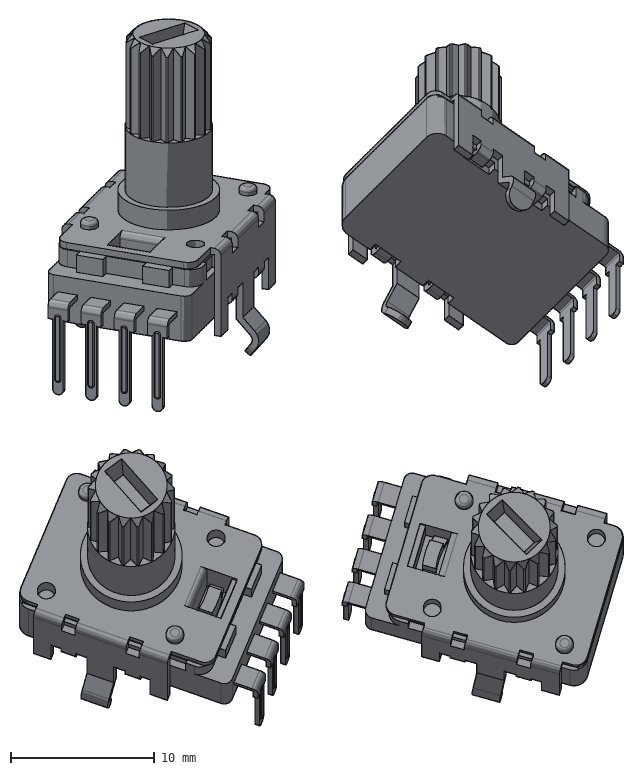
import cadquery as cq
import math


SHAFT_TOP = 13.4
SHAFT_DIAMETER = 6.1
COLLAR_DIAMETER = 7.1
COLLAR_HEIGHT = 1.5
SPLINE_LENGTH = 7.0
SPLINE_COUNT = 18
SPLINE_CREST_RADIUS = 3.0
SPLINE_ROOT_RADIUS = 2.5
SPLINE_CREST_HALF_ANGLE = 1.2
SPLINE_CHAMFER = SPLINE_CREST_RADIUS - SPLINE_ROOT_RADIUS
SLOT_LENGTH = 4.0
SLOT_WIDTH = 1.5
SLOT_DEPTH = 1.5
SLOT_FLOOR_LENGTH = 3.0
SLOT_FLOOR_WIDTH = 1.0
SLOT_ANGLE = 60.0

SHEET = 0.5
PLATE_HALF_WIDTH = 5.2
PLATE_BACK = 6.55
PLATE_FRONT = -8.0
PLATE_CORNER = 0.8
WALL_OUTER = 6.0
WALL_INNER = WALL_OUTER - SHEET
WALL_HALF_LENGTH = 5.0
WALL_BOTTOM = -4.2
LEG_BOTTOM = -6.65
GAP_NEAR = 1.0
GAP_FAR = 3.7
NOTCH_CENTER = 2.4
NOTCH_WIDTH = 1.0
NOTCH_DEPTH = 1.13
TAB_WIDTH = 1.1
TAB_BOTTOM = -5.1
TAB_INNER = 4.5

HOOK_WIDTH = 2 * GAP_NEAR
HOOK_BEND_X = 6.2
HOOK_BEND_Z = -8.44
HOOK_OUTER_RADIUS = 1.0
HOOK_INNER_RADIUS = HOOK_OUTER_RADIUS - SHEET
HOOK_UPPER_ANGLE = 45.0
HOOK_LOWER_ANGLE = -37.0
HOOK_TIP_LENGTH = 1.2
HOOK_TIP_ROUNDING = 0.98

BODY_HALF_WIDTH = 5.4
BODY_BACK = 6.6
BODY_FRONT = -9.4
BODY_TOP = -0.64
BODY_STEP = -1.95
BODY_BOTTOM = -5.4
UPPER_FRONT = -7.8
BODY_CORNER = 1.0
FRONT_CORNER = 0.6
BUMP_FRONT = -8.4
BUMP_WIDTH = 2.0
BUMP_OFFSET = 2.5
RIM_TOP = -0.84
RIM_WIDTH = 0.3
RIM_HALF_LENGTH = 6.15
POCKET_DEPTH = 0.5
POCKET_BACK = -4.0
RECESS_TOP = -4.6
RECESS_LENGTH = 2.3
RECESS_DEPTH = 0.6

SPACER_HALF_WIDTH = BODY_HALF_WIDTH - RIM_WIDTH
SPACER_BACK = 6.15
SPACER_FRONT = -6.9

RIVET_X = 4.0
RIVET_Y = 4.8
RIVET_DIAMETER = 1.25
RIVET_HEIGHT = 0.55
RIVET_ROUNDING = 0.3
HOLE_DIAMETER = 1.25
HOLE_DEPTH = 1.25

WINDOW_WIDTH = 3.2
WINDOW_BACK = -4.6
WINDOW_FRONT = -7.3
WINDOW_LIP_RADIUS = 0.45
WINDOW_LEDGE_TOP = -0.25
CAVITY_FLOOR = -3.0
TRACK_INNER_RADIUS = 5.5
TRACK_OUTER_RADIUS = 6.46
TRACK_TOP = -2.4
CONTACT_WIDTH = 1.87
CONTACT_TOP = -1.2

PIN_PITCH = 2.5
PIN_COUNT = 4
PIN_SHEET = 0.35
PIN_TOP = -3.2
PIN_FRONT = -11.19
PIN_BOTTOM = -10.2
PIN_ROOT = -9.0
PIN_BEND_RADIUS = 0.45
PIN_HEAD_WIDTH = 1.5
PIN_WIDTH = 0.8
PIN_SHOULDER = -4.5
RIB_FRONT = -11.25
RIB_TOP = -4.1
RIB_BOTTOM = -9.25
RIB_WIDTH = 0.5
RIB_CREST_WIDTH = 0.3


def box(x_min, x_max, y_min, y_max, z_min, z_max):
    """Axis-aligned block between the given limits."""
    size = (x_max - x_min, y_max - y_min, z_max - z_min)
    return cq.Workplane("XY").box(*size, centered=False).translate((x_min, y_min, z_min))


def mirrored_pair(solid):
    """A solid on the +X side together with its mirror image on the -X side."""
    return solid.union(solid.mirror("YZ"))


def polar(radius, angle):
    """Point at a radius and an angle in degrees."""
    return (radius * math.cos(math.radians(angle)), radius * math.sin(math.radians(angle)))


def make_spline():
    """Narrow-crested spline teeth with a conical chamfer at the shaft end."""
    pitch = 360.0 / SPLINE_COUNT
    outline = []
    for tooth in range(SPLINE_COUNT):
        crest = 90.0 + tooth * pitch
        outline.append(polar(SPLINE_CREST_RADIUS, crest - SPLINE_CREST_HALF_ANGLE))
        outline.append(polar(SPLINE_CREST_RADIUS, crest + SPLINE_CREST_HALF_ANGLE))
        outline.append(polar(SPLINE_ROOT_RADIUS, crest + pitch / 2))
    base = SHAFT_TOP - SPLINE_LENGTH
    teeth = cq.Workplane("XY").workplane(offset=base).polyline(outline).close().extrude(SPLINE_LENGTH)
    envelope = cq.Workplane("XY").workplane(offset=base).circle(SPLINE_CREST_RADIUS).extrude(SPLINE_LENGTH)
    return teeth.intersect(envelope.faces(">Z").chamfer(SPLINE_CHAMFER))


def make_shaft():
    """Collar, plain shaft and splined end with a tapered screwdriver slot."""
    collar = cq.Workplane("XY").circle(COLLAR_DIAMETER / 2).extrude(COLLAR_HEIGHT)
    plain = cq.Workplane("XY").circle(SHAFT_DIAMETER / 2).extrude(SHAFT_TOP - SPLINE_LENGTH)
    slot = (
        cq.Workplane("XY")
        .workplane(offset=SHAFT_TOP)
        .rect(SLOT_LENGTH, SLOT_WIDTH)
        .workplane(offset=-SLOT_DEPTH)
        .rect(SLOT_FLOOR_LENGTH, SLOT_FLOOR_WIDTH)
        .loft()
        .rotate((0, 0, 0), (0, 0, 1), SLOT_ANGLE)
    )
    return collar.union(plain).union(make_spline()).cut(slot)


def make_body():
    """Stepped molded body with front bumps and side recesses."""
    lower = box(-BODY_HALF_WIDTH, BODY_HALF_WIDTH, BODY_FRONT, BODY_BACK, BODY_BOTTOM, BODY_STEP)
    lower = lower.edges("|Z and <Y").fillet(FRONT_CORNER).edges("|Z and >Y").fillet(BODY_CORNER)
    upper = box(-BODY_HALF_WIDTH, BODY_HALF_WIDTH, UPPER_FRONT, BODY_BACK, BODY_STEP, BODY_TOP)
    body = lower.union(upper.edges("|Z").fillet(BODY_CORNER))
    for center in (-BUMP_OFFSET, BUMP_OFFSET):
        left = center - BUMP_WIDTH / 2
        body = body.union(box(left, left + BUMP_WIDTH, BUMP_FRONT, UPPER_FRONT, BODY_STEP, BODY_TOP))
    return body.cut(mirrored_pair(make_side_cuts()))


def make_side_cuts():
    """Material removed from the +X side of the body."""
    rim_inner = BODY_HALF_WIDTH - RIM_WIDTH
    cuts = box(rim_inner, WALL_OUTER, -RIM_HALF_LENGTH, RIM_HALF_LENGTH, RIM_TOP, 0)
    pocket_inner = BODY_HALF_WIDTH - POCKET_DEPTH
    cuts = cuts.union(
        box(pocket_inner, WALL_OUTER, -RIM_HALF_LENGTH, POCKET_BACK, BODY_STEP, RIM_TOP)
    )
    recess_inner = BODY_HALF_WIDTH - RECESS_DEPTH
    for center in (-NOTCH_CENTER, NOTCH_CENTER):
        near = center - RECESS_LENGTH / 2
        cuts = cuts.union(
            box(recess_inner, WALL_OUTER, near, near + RECESS_LENGTH, BODY_BOTTOM, RECESS_TOP)
        )
    return cuts


def make_side_wall():
    """Bent side wall on the +X side, with its legs, tabs and bend notches."""
    wall = box(PLATE_HALF_WIDTH, WALL_OUTER, -WALL_HALF_LENGTH, WALL_HALF_LENGTH, LEG_BOTTOM, 0)
    wall = wall.edges("|Y and >X and >Z").fillet(SHEET)
    wall = wall.cut(
        box(PLATE_HALF_WIDTH, WALL_INNER, -WALL_HALF_LENGTH, WALL_HALF_LENGTH, LEG_BOTTOM, -SHEET)
    )
    for side in (-1, 1):
        center = side * NOTCH_CENTER
        near, far = sorted((side * GAP_NEAR, side * GAP_FAR))
        wall = wall.cut(box(WALL_INNER, WALL_OUTER, near, far, LEG_BOTTOM, WALL_BOTTOM))
        notch_start = center - NOTCH_WIDTH / 2
        notch_end = center + NOTCH_WIDTH / 2
        wall = wall.cut(box(PLATE_HALF_WIDTH, WALL_OUTER, notch_start, notch_end, -NOTCH_DEPTH, 0))
        wall = wall.union(make_tab(center))
    return wall.union(make_hook())


def make_tab(center):
    """Tab below the +X wall, bent inward into the body recess."""
    start = center - TAB_WIDTH / 2
    end = center + TAB_WIDTH / 2
    tab = box(TAB_INNER, WALL_OUTER, start, end, TAB_BOTTOM, WALL_BOTTOM)
    tab = tab.edges("|Y and >X and <Z").fillet(SHEET)
    return tab.cut(box(TAB_INNER, WALL_INNER, start, end, TAB_BOTTOM + SHEET, WALL_BOTTOM))


def make_hook():
    """Snap hook below the +X wall: out along a slope, round a bend and back in to a round tip."""
    def on_bend(radius, angle):
        x, z = polar(radius, angle)
        return (HOOK_BEND_X + x, HOOK_BEND_Z + z)

    def slope_start(radius, x):
        """Point where the upper slope, tangent to the bend, meets a vertical wall face."""
        tangent_x, tangent_z = on_bend(radius, HOOK_UPPER_ANGLE)
        rise = (tangent_x - x) / math.tan(math.radians(HOOK_UPPER_ANGLE))
        return (x, tangent_z + rise)

    def tip_end(radius):
        x, z = on_bend(radius, HOOK_LOWER_ANGLE)
        dx, dz = polar(HOOK_TIP_LENGTH, HOOK_LOWER_ANGLE - 90)
        return (x + dx, z + dz)

    middle = (HOOK_UPPER_ANGLE + HOOK_LOWER_ANGLE) / 2
    hook = (
        cq.Workplane("XZ", origin=(0, HOOK_WIDTH / 2, 0))
        .moveTo(WALL_OUTER, LEG_BOTTOM)
        .lineTo(*slope_start(HOOK_OUTER_RADIUS, WALL_OUTER))
        .lineTo(*on_bend(HOOK_OUTER_RADIUS, HOOK_UPPER_ANGLE))
        .threePointArc(
            on_bend(HOOK_OUTER_RADIUS, middle), on_bend(HOOK_OUTER_RADIUS, HOOK_LOWER_ANGLE)
        )
        .lineTo(*tip_end(HOOK_OUTER_RADIUS))
        .lineTo(*tip_end(HOOK_INNER_RADIUS))
        .lineTo(*on_bend(HOOK_INNER_RADIUS, HOOK_LOWER_ANGLE))
        .threePointArc(
            on_bend(HOOK_INNER_RADIUS, middle), on_bend(HOOK_INNER_RADIUS, HOOK_UPPER_ANGLE)
        )
        .lineTo(*slope_start(HOOK_INNER_RADIUS, WALL_INNER))
        .lineTo(WALL_INNER, LEG_BOTTOM)
        .close()
        .extrude(HOOK_WIDTH)
    )
    across_x, across_z = polar(1, HOOK_LOWER_ANGLE)
    through_sheet = cq.selectors.ParallelDirSelector(cq.Vector(across_x, 0, across_z))
    tip_corners = hook.edges(through_sheet).edges("<Z")
    return tip_corners.fillet(HOOK_TIP_ROUNDING)


def make_cover():
    """Cover plate with both side walls and the spacer under the plate."""
    plate = box(-PLATE_HALF_WIDTH, PLATE_HALF_WIDTH, PLATE_FRONT, PLATE_BACK, -SHEET, 0)
    plate = plate.edges("|Z").fillet(PLATE_CORNER)
    spacer = box(-SPACER_HALF_WIDTH, SPACER_HALF_WIDTH, SPACER_FRONT, SPACER_BACK, BODY_TOP, -SHEET)
    return plate.union(spacer).union(mirrored_pair(make_side_wall()))


def make_rivet(x, y):
    """Rounded rivet head standing on the cover plate."""
    head = cq.Workplane("XY").center(x, y).circle(RIVET_DIAMETER / 2).extrude(RIVET_HEIGHT)
    return head.faces(">Z").fillet(RIVET_ROUNDING)


def make_hole(x, y):
    """Blind hole through the cover plate and into the body."""
    return cq.Workplane("XY").center(x, y).circle(HOLE_DIAMETER / 2).extrude(-HOLE_DEPTH)


def make_window_cut():
    """Window and cavity below it, with a rolled lip along the back and a ledge along the front."""
    half = WINDOW_WIDTH / 2
    lip_front = WINDOW_BACK - WINDOW_LIP_RADIUS
    window = box(-half, half, WINDOW_FRONT, WINDOW_BACK, WINDOW_LEDGE_TOP, 0)
    cavity = box(-half, half, SPACER_FRONT, WINDOW_BACK, CAVITY_FLOOR, WINDOW_LEDGE_TOP)
    lip = box(-half, half, lip_front, WINDOW_BACK + WINDOW_LIP_RADIUS, CAVITY_FLOOR, 0)
    lip = lip.edges("|X and <Y and >Z").fillet(WINDOW_LIP_RADIUS)
    return window.union(cavity).cut(lip).cut(make_track())


def make_track():
    """Curved track with a raised contact, on the cavity floor under the window."""
    def track_segment(width, top):
        ring = (
            cq.Workplane("XY")
            .workplane(offset=CAVITY_FLOOR)
            .circle(TRACK_OUTER_RADIUS)
            .circle(TRACK_INNER_RADIUS)
            .extrude(top - CAVITY_FLOOR)
        )
        span = box(-width / 2, width / 2, WINDOW_FRONT, WINDOW_BACK, CAVITY_FLOOR, top)
        return ring.intersect(span)

    return track_segment(WINDOW_WIDTH, TRACK_TOP).union(track_segment(CONTACT_WIDTH, CONTACT_TOP))


def make_pin():
    """L-shaped terminal pin on X = 0 with a wide head, a round tip and a stiffening rib."""
    pin_back = PIN_FRONT + PIN_SHEET
    head_half = PIN_HEAD_WIDTH / 2
    blank = box(-head_half, head_half, PIN_FRONT, PIN_ROOT, PIN_BOTTOM, PIN_TOP)
    blank = blank.edges("|X and <Y and >Z").fillet(PIN_BEND_RADIUS)
    inside = box(-head_half, head_half, pin_back, PIN_ROOT, PIN_BOTTOM, PIN_TOP - PIN_SHEET)
    inside = inside.edges("|X and <Y and >Z").fillet(PIN_BEND_RADIUS - PIN_SHEET)
    head = box(-head_half, head_half, PIN_FRONT, PIN_ROOT, PIN_SHOULDER, PIN_TOP)
    shank_length = PIN_TOP - PIN_BOTTOM
    shank = (
        cq.Workplane("XZ", origin=(0, PIN_ROOT, PIN_TOP - shank_length / 2))
        .slot2D(shank_length, PIN_WIDTH, 90)
        .extrude(PIN_ROOT - PIN_FRONT)
    )
    return blank.cut(inside).intersect(head.union(shank)).union(make_rib())


def make_rib():
    """Slope-sided rib along the front face of a pin."""
    length = RIB_TOP - RIB_BOTTOM
    margin = RIB_WIDTH - RIB_CREST_WIDTH
    return (
        cq.Workplane("XZ", origin=(0, PIN_FRONT, (RIB_TOP + RIB_BOTTOM) / 2))
        .slot2D(length, RIB_WIDTH, 90)
        .workplane(offset=PIN_FRONT - RIB_FRONT)
        .slot2D(length - margin, RIB_CREST_WIDTH, 90)
        .loft()
    )


result = make_body().union(make_cover()).union(make_shaft()).cut(make_window_cut())
for side in (-1, 1):
    result = result.union(make_rivet(side * RIVET_X, side * RIVET_Y))
    result = result.cut(make_hole(-side * RIVET_X, side * RIVET_Y))
for index in range(PIN_COUNT):
    pin_x = (index - (PIN_COUNT - 1) / 2) * PIN_PITCH
    result = result.union(make_pin().translate((pin_x, 0, 0)))